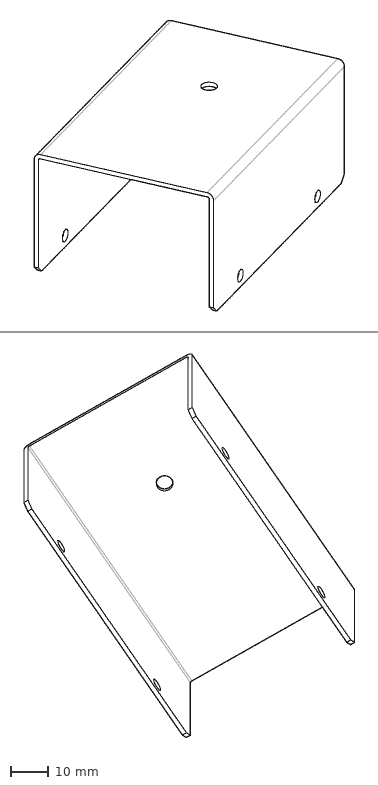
import cadquery as cq

width = 53.5
length = 82.6
height = 37.0
thickness = 1.3

outer_bend_radius = 2.0
inner_bend_radius = 0.5

corner_clip = 2.0

top_hole_diameter = 4.5
top_hole_y = 12.55

side_hole_diameter = 3.5
side_hole_spacing = 48.7
side_hole_height = 3.5


def bent_sheet():
    """U-shaped sheet with rounded bends, open at the bottom and both ends."""
    outer = (
        cq.Workplane("XY")
        .box(width, length, height, centered=(True, True, False))
        .edges("|Y and >Z")
        .fillet(outer_bend_radius)
    )
    inner = (
        cq.Workplane("XY")
        .box(width - 2 * thickness, length, height - thickness, centered=(True, True, False))
        .edges("|Y and >Z")
        .fillet(inner_bend_radius)
    )
    return outer.cut(inner)


def top_hole():
    """Vertical cutter for the hole in the top panel."""
    return cq.Workplane("XY").center(0, top_hole_y).circle(top_hole_diameter / 2).extrude(height)


def side_holes():
    """Cutters along X that pierce both side walls."""
    half_spacing = side_hole_spacing / 2
    centers = [(side * half_spacing, side_hole_height) for side in (-1, 1)]
    return (
        cq.Workplane("YZ")
        .pushPoints(centers)
        .circle(side_hole_diameter / 2)
        .extrude(width / 2, both=True)
    )


clipped_sheet = bent_sheet().faces("<Z").edges("|X").chamfer(corner_clip)
result = clipped_sheet.cut(top_hole()).cut(side_holes())